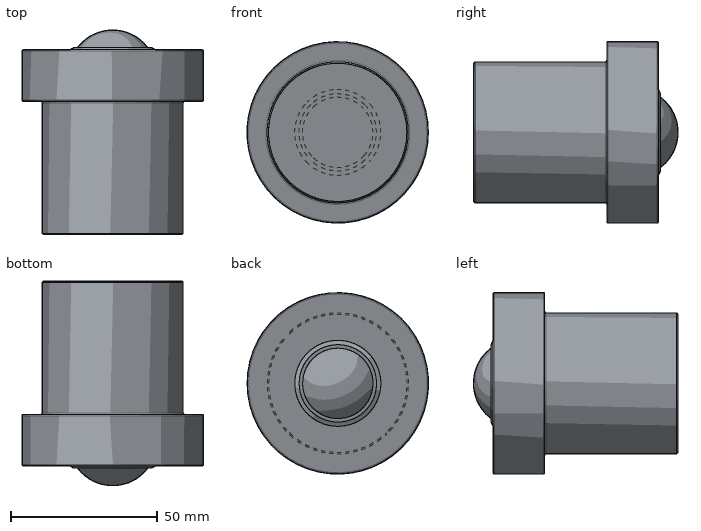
import cadquery as cq
import math

total_length = 70.0
ball_diameter = 30.0
ball_projection = 6.8

flange_diameter = 62.0
flange_thickness = 17.65
flange_edge_round = 0.5

shank_diameter = 48.2
shank_end_chamfer = 0.5
root_fillet = 0.5

lip_base_diameter = 29.4
lip_top_diameter = 26.45
lip_height = 0.8

shank_length = total_length - ball_projection - flange_thickness
ball_radius = ball_diameter / 2
ball_center_y = flange_thickness + ball_projection - ball_radius


def disc(diameter, start_y, length):
    """Cylinder on the Y axis, from start_y toward +Y."""
    plane = cq.Workplane("XZ", origin=(0, start_y, 0))
    return plane.circle(diameter / 2).extrude(-length)


def make_shank():
    shank = disc(shank_diameter, -shank_length, shank_length)
    return shank.faces("<Y").chamfer(shank_end_chamfer)


def make_flange():
    flange = disc(flange_diameter, 0, flange_thickness)
    return flange.edges().fillet(flange_edge_round)


def make_root_fillet():
    """Concave ring in the corner between shank and flange seat."""
    shank_radius = shank_diameter / 2
    arc_offset = root_fillet * (1 - math.sqrt(0.5))
    return (
        cq.Workplane("XY")
        .moveTo(0, 0)
        .lineTo(shank_radius + root_fillet, 0)
        .threePointArc(
            (shank_radius + arc_offset, -arc_offset),
            (shank_radius, -root_fillet),
        )
        .lineTo(0, -root_fillet)
        .close()
        .revolve(360, (0, 0, 0), (0, 1, 0))
    )


def make_lip():
    """Conical collar that retains the ball."""
    return (
        cq.Workplane("XY")
        .moveTo(0, flange_thickness)
        .lineTo(lip_base_diameter / 2, flange_thickness)
        .lineTo(lip_top_diameter / 2, flange_thickness + lip_height)
        .lineTo(0, flange_thickness + lip_height)
        .close()
        .revolve(360, (0, 0, 0), (0, 1, 0))
    )


ball = cq.Workplane("XY").sphere(ball_radius).translate((0, ball_center_y, 0))

result = (
    make_flange()
    .union(make_shank())
    .union(make_root_fillet())
    .union(make_lip())
    .union(ball)
)